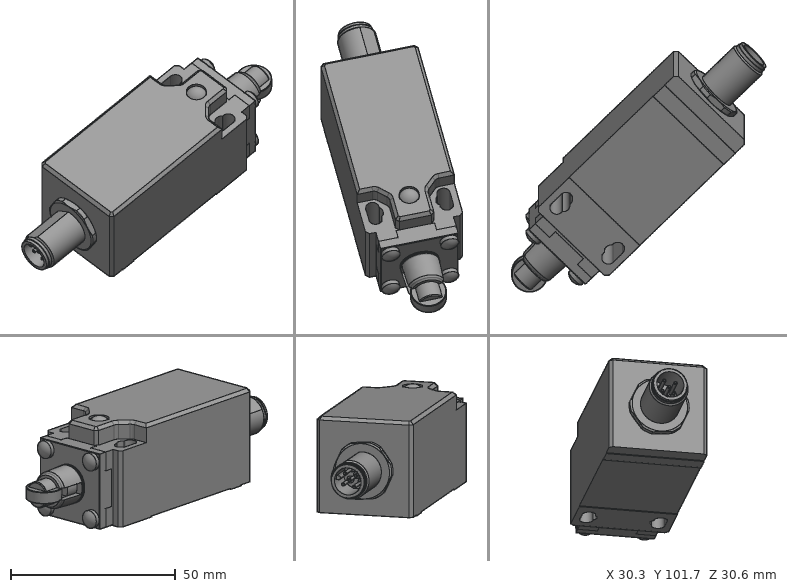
import cadquery as cq
import math


total_length = 101.7
housing_width = 30.3
foot_height = 0.3
housing_top = 30.0
edge_chamfer = 1.0

shoulder_y = 60.1
tab_y = 60.9
post_y = 63.5
step_y = 48.4
tab_side_y = 52.0
foot_pads = [(4.9, 9.9), (45.9, shoulder_y)]
flank_radius = 1.8

slot_x = 11.1
slot_y = 53.3
slot_length = 8.0
slot_width = 4.1
round_hole_x = 10.3
round_hole_radius = 2.0

lens_y = 52.9
lens_radius = 3.1
lens_dome_radius = 3.8
lens_top = 30.6

head_width = 24.2
head_height = 24.0
head_back = 66.3
head_edge_chamfer = 0.2
tongue_half_width = 6.0
head_axis_z = foot_height + head_height / 2
head_top = foot_height + head_height
screw_offset = 9.2
screw_radius = 5.6 / 2
screw_rim_y = 67.6
screw_top_y = 68.9
collar_radius = 6.1
collar_back = 67.3
collar_groove_y = (66.6, 66.9)
collar_groove_depth = 0.2
neck_end_radius = 5.8
neck_taper_y = 74.9
neck_tip_radius = 5.0
neck_bevel_y = 75.6
neck_bevel_radius = 5.5
neck_tip_y = 76.2
neck_slot_floor = 67.5

connector_length = 18.2
roller_radius = 10.9 / 2
roller_width = 3.8
roller_chamfer = 0.2
roller_y = total_length - connector_length - roller_radius
plunger_radius = 4.1
plunger_tip_y = 81.3
plunger_chamfer = 0.3
plunger_slot_floor = 71.8

connector_z = 14.3
connector_turn = 5.5
flat_turn = 30.0
pin_turn = 30.0
key_turn = 165.0
nut_across_flats = 17.3
nut_corner_radius = 9.2
nut_length = 2.1
nut_chamfer_length = 0.3
nut_chamfer_depth = 0.6
barrel_radius = 6.0
barrel_flat_distance = 5.4
barrel_end = 16.2
barrel_chamfer = 0.5
nose_radius = barrel_radius - barrel_chamfer
nose_step = 17.2
nose_tip_radius = 5.2
bore_radius = 4.2
bore_depth = 10.2
pin_tip_depth = 1.8
pin_radius = 0.5
pin_chamfer = 0.2
pin_circle_radius = 5.0 / 2
pin_collar_radius = 2.1 / 2
pin_collar_height = 0.3
key_width = 1.2
key_center_radius = 3.5


def turned(profile, z):
    """Solid of revolution about the line parallel to Y at height z; points are (radius, y)."""
    return cq.Workplane("XY").polyline(profile).close().revolve(360, (0, 0), (0, 1)).translate((0, 0, z))


def block(x_range, y_range, z_range):
    """Box between the given limits."""
    size = [high - low for low, high in (x_range, y_range, z_range)]
    corner = (x_range[0], y_range[0], z_range[0])
    return cq.Workplane("XY").box(*size, centered=False).translate(corner)


def lower_housing():
    """Full-width part up to the mounting ears, with its foot pads and the block behind it."""
    half = housing_width / 2
    body = block((-half, half), (0, shoulder_y), (foot_height, head_top)).edges("|Z").chamfer(edge_chamfer)
    pad_outline = block((-half, half), (0, shoulder_y), (0, foot_height)).edges("|Z").chamfer(edge_chamfer)
    for pad_start, pad_end in foot_pads:
        pad = block((-half, half), (pad_start, pad_end), (0, foot_height)).intersect(pad_outline)
        body = body.union(pad)
    head_half = head_width / 2
    return body.union(block((-head_half, head_half), (shoulder_y, post_y), (foot_height, head_top)))


def upper_housing():
    """Raised part: full width in front, narrowing over a diagonal flank to a central tab."""
    half = housing_width / 2
    flank_x = tongue_half_width + tab_side_y - step_y
    right_side = [
        (half - edge_chamfer, 0),
        (half, edge_chamfer),
        (half, step_y),
        (flank_x, step_y),
        (tongue_half_width, tab_side_y),
        (tongue_half_width, tab_y - edge_chamfer),
        (tongue_half_width - edge_chamfer, tab_y),
    ]
    left_side = [(-x, y) for x, y in reversed(right_side)]
    raised = (
        cq.Workplane("XY", origin=(0, 0, head_top))
        .polyline(right_side + left_side)
        .close()
        .extrude(housing_top - head_top)
    )
    middle_z = (head_top + housing_top) / 2
    for side in (-1, 1):
        for x, y in ((flank_x, step_y), (tongue_half_width, tab_side_y)):
            corner = cq.selectors.NearestToPointSelector((side * x, y, middle_z))
            raised = raised.edges(corner).fillet(flank_radius)
    return raised.faces(">Z").chamfer(edge_chamfer)


def mounting_holes():
    """Through cutters in the two ears."""
    cutters = cq.Workplane("XY")
    for side in (-1, 1):
        slot = cq.Workplane("XY").center(side * slot_x, slot_y).slot2D(slot_length, slot_width, 90)
        hole = cq.Workplane("XY").center(side * round_hole_x, slot_y).circle(round_hole_radius)
        cutters = cutters.union(slot.extrude(housing_top)).union(hole.extrude(housing_top))
    return cutters


def lens_recess():
    """Gap around the lens in its round recess, and the lens dome that fills the rest of it."""
    dome_center = lens_top - lens_dome_radius
    floor = dome_center + math.sqrt(lens_dome_radius**2 - lens_radius**2)
    recess = cq.Workplane("XY", origin=(0, lens_y, floor)).circle(lens_radius).extrude(lens_top - floor)
    dome = cq.Workplane("XY").sphere(lens_dome_radius).translate((0, lens_y, dome_center))
    return recess.cut(dome), recess.intersect(dome)


def head_tongues():
    """Cross-shaped tongues that fit between the corner posts of the housing."""
    half = head_width / 2
    z_range = (foot_height, head_top)
    upright = block((-tongue_half_width, tongue_half_width), (tab_y, post_y), z_range)
    low, high = head_axis_z - tongue_half_width, head_axis_z + tongue_half_width
    return upright.union(block((-half, half), (tab_y, post_y), (low, high)))


def build_housing():
    lens_gap, lens_dome = lens_recess()
    body = lower_housing().union(upper_housing())
    return body.cut(head_tongues()).cut(mounting_holes()).union(lens_dome).cut(lens_gap)


def build_neck():
    """Grooved collar and tapering neck around the plunger."""
    groove_start, groove_end = collar_groove_y
    groove_radius = collar_radius - collar_groove_depth
    return turned(
        [
            (0, head_back),
            (collar_radius, head_back),
            (collar_radius, groove_start),
            (groove_radius, groove_start),
            (groove_radius, groove_end),
            (collar_radius, groove_end),
            (collar_radius, collar_back),
            (neck_end_radius, neck_taper_y),
            (neck_bevel_radius, neck_bevel_y),
            (neck_tip_radius, neck_tip_y),
            (0, neck_tip_y),
        ],
        head_axis_z,
    )


def build_screw_head():
    """Domed screw head, centred on the head's axis."""
    dome_height = screw_top_y - screw_rim_y
    dome_radius = (screw_radius**2 + dome_height**2) / (2 * dome_height)
    middle_angle = math.asin(screw_radius / dome_radius) / 2
    middle_x = dome_radius * math.sin(middle_angle)
    middle_y = screw_top_y - dome_radius * (1 - math.cos(middle_angle))
    return (
        cq.Workplane("XY")
        .moveTo(0, head_back)
        .lineTo(screw_radius, head_back)
        .lineTo(screw_radius, screw_rim_y)
        .threePointArc((middle_x, middle_y), (0, screw_top_y))
        .close()
        .revolve(360, (0, 0), (0, 1))
        .translate((0, 0, head_axis_z))
    )


def roller_slot(floor_y):
    """Cutter as wide as the roller, open towards +Y and on both sides."""
    reach = collar_radius
    z_range = (head_axis_z - roller_width / 2, head_axis_z + roller_width / 2)
    return block((-reach, reach), (floor_y, plunger_tip_y), z_range)


def build_head():
    half = head_width / 2
    plate = block((-half, half), (post_y, head_back), (foot_height, head_top))
    head = plate.faces(">Y").chamfer(head_edge_chamfer).union(head_tongues()).union(build_neck())
    screw = build_screw_head()
    for x in (-screw_offset, screw_offset):
        for z in (-screw_offset, screw_offset):
            head = head.union(screw.translate((x, 0, z)))
    bore = turned(
        [(0, post_y), (plunger_radius, post_y), (plunger_radius, neck_tip_y), (0, neck_tip_y)], head_axis_z
    )
    return head.cut(bore).cut(roller_slot(neck_slot_floor))


def build_plunger():
    """Round plunger, forked at its end around the roller."""
    stem = turned(
        [
            (0, post_y),
            (plunger_radius, post_y),
            (plunger_radius, plunger_tip_y - plunger_chamfer),
            (plunger_radius - plunger_chamfer, plunger_tip_y),
            (0, plunger_tip_y),
        ],
        head_axis_z,
    )
    return stem.cut(roller_slot(plunger_slot_floor))


def build_roller():
    """Disc filling the fork, with its axis along Z."""
    disc = cq.Workplane("XY").circle(roller_radius).extrude(roller_width).edges().chamfer(roller_chamfer)
    return disc.translate((0, roller_y, head_axis_z - roller_width / 2))


def build_nut():
    """Hexagon nut with its corners turned down, against the housing."""
    hexagon = (
        cq.Workplane("XZ")
        .polygon(6, nut_across_flats / math.cos(math.pi / 6))
        .extrude(nut_length)
        .rotate((0, 0, 0), (0, 1, 0), -connector_turn)
    )
    face_radius = nut_corner_radius - nut_chamfer_depth
    turned_blank = turned(
        [
            (0, 0),
            (face_radius, 0),
            (nut_corner_radius, -nut_chamfer_length),
            (nut_corner_radius, -nut_length + nut_chamfer_length),
            (face_radius, -nut_length),
            (0, -nut_length),
        ],
        0,
    )
    return hexagon.intersect(turned_blank).translate((0, 0, connector_z))


def build_barrel():
    """Stepped barrel with one long flat."""
    barrel = turned(
        [
            (0, 0),
            (barrel_radius, 0),
            (barrel_radius, -barrel_end + barrel_chamfer),
            (nose_radius, -barrel_end),
            (0, -barrel_end),
        ],
        0,
    )
    reach = 2 * barrel_radius
    flat = block((-reach, reach), (-barrel_end, 0), (barrel_flat_distance, reach))
    flat_angle = connector_turn + flat_turn
    barrel = barrel.cut(flat.rotate((0, 0, 0), (0, 1, 0), -flat_angle))
    nose = turned(
        [
            (0, -barrel_end),
            (nose_radius, -barrel_end),
            (nose_radius, -nose_step),
            (nose_tip_radius, -nose_step),
            (nose_tip_radius, -connector_length),
            (0, -connector_length),
        ],
        0,
    )
    return barrel.union(nose).translate((0, 0, connector_z))


def polar(radius, degrees):
    """Point at the given radius and angle."""
    return (radius * math.cos(math.radians(degrees)), radius * math.sin(math.radians(degrees)))


def build_contacts():
    """Five pins on collars, and the keying rib, standing on the floor of the bore."""
    floor = cq.Workplane("XZ", origin=(0, bore_depth - connector_length, connector_z))
    pin_length = bore_depth - pin_tip_depth
    ring = [connector_turn + pin_turn + 90 * quarter for quarter in range(4)]
    places = [(0, 0)] + [polar(pin_circle_radius, angle) for angle in ring]
    collars = floor.pushPoints(places).circle(pin_collar_radius).extrude(pin_collar_height)
    pins = floor.pushPoints(places).circle(pin_radius).extrude(pin_length).faces("<Y").chamfer(pin_chamfer)

    key_depth = bore_radius - key_center_radius
    key = floor.center(key_center_radius, 0).circle(key_width / 2).extrude(pin_length)
    key_root = floor.center(key_center_radius + key_depth / 2, 0).rect(key_depth, key_width).extrude(pin_length)
    key = key.union(key_root)
    key_angle = connector_turn + key_turn
    axis_start = (0, 0, connector_z)
    axis_end = (0, 1, connector_z)
    return collars.union(pins).union(key.rotate(axis_start, axis_end, -key_angle))


def build_connector():
    bore_floor_y = bore_depth - connector_length
    bore = turned(
        [
            (0, -connector_length),
            (bore_radius, -connector_length),
            (bore_radius, bore_floor_y),
            (0, bore_floor_y),
        ],
        connector_z,
    )
    return build_nut().union(build_barrel()).cut(bore).union(build_contacts())


housing = build_housing()
head = build_head()
plunger = build_plunger()
roller = build_roller()
connector = build_connector()

bodies = [housing, head, plunger, roller, connector]
result = cq.Compound.makeCompound([body.solids().val() for body in bodies])